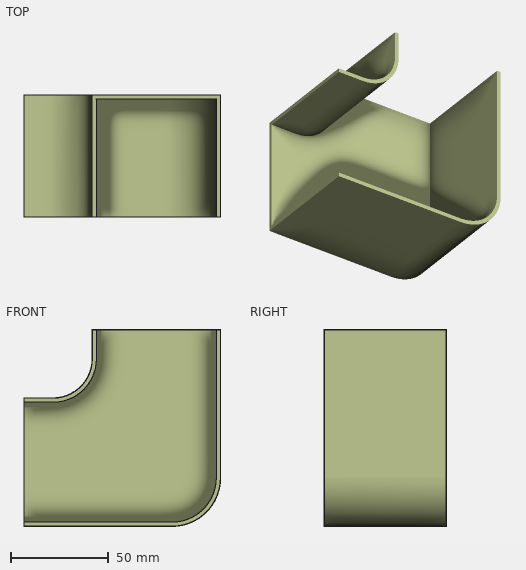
import cadquery as cq

LEG_LENGTH = 100.9
DEPTH = 62.7
WALL = 2.2
STRAIGHT = 15.0
INSIDE_RADIUS = 20.0
OUTSIDE_RADIUS = 25.0

HALF_LEG = LEG_LENGTH / 2
HALF_DEPTH = DEPTH / 2
INSIDE_WALL_X = -HALF_LEG + STRAIGHT + INSIDE_RADIUS


def elbow_prism(inset, back_y):
    """Solid elbow from the front face to back_y, with its side walls moved inwards by inset.

    Both bends keep their centres, and the two ends of the elbow stay at the outer extent.
    The outline is symmetric about the line z = -x.
    """
    inside_wall = INSIDE_WALL_X + inset
    outside_wall = HALF_LEG - inset
    inside_bend_start = -HALF_LEG + STRAIGHT
    outside_bend_start = HALF_LEG - OUTSIDE_RADIUS
    outline = (
        cq.Workplane("XZ", origin=(0, back_y, 0))
        .moveTo(-HALF_LEG, -outside_wall)
        .lineTo(outside_bend_start, -outside_wall)
        .tangentArcPoint((outside_wall, -outside_bend_start), relative=False)
        .lineTo(outside_wall, HALF_LEG)
        .lineTo(inside_wall, HALF_LEG)
        .lineTo(inside_wall, -inside_bend_start)
        .tangentArcPoint((inside_bend_start, -inside_wall), relative=False)
        .lineTo(-HALF_LEG, -inside_wall)
        .close()
    )
    return outline.extrude(back_y + HALF_DEPTH)


body = elbow_prism(0, HALF_DEPTH)
channel = elbow_prism(WALL, HALF_DEPTH - WALL)
result = body.cut(channel)